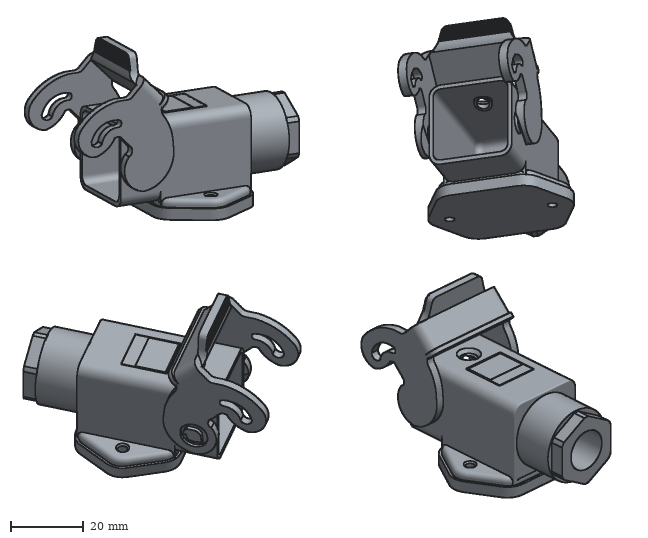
import cadquery as cq
import math


SCREW_X = 15.0
FLANGE_CORNER_R = 6.0
FLANGE_CORNER_X = 9.7
FLANGE_HALF_Y = 15.25
FLANGE_CORNER_Y = FLANGE_HALF_Y - FLANGE_CORNER_R
FLANGE_H = 3.4
PLATEAU_INSET = 0.8
PLATEAU_TOP = 5.7
PLATEAU_ROUND = 1.5
SCREW_D = 2.7
SCREW_RIM_D = 3.7

BODY_W = 24.1
BODY_TOP = 28.5
BODY_BOTTOM = 4.4
BODY_FRONT = -26.6
BODY_BACK = 14.3
STEP_Y = -14.2
BODY_ROUND = 3.3
BACK_EDGE_ROUND = 0.4
CAVITY_W = 21.8
CAVITY_TOP = 27.3
CAVITY_BACK = 11.5
CAVITY_CORNER_R = 2.2
CAVITY_BACK_ROUND = 2.0

PANEL_W = 13.2
PANEL_FRONT = -10.1
PANEL_BACK = 3.1
PANEL_H = 0.25
LABEL_W = 12.6
LABEL_FRONT = -9.7
LABEL_BACK = -0.9
LABEL_DEPTH = 0.1

ROOF_SCREW_Y = -15.7
SINK_R = 3.4
ROOF_HOLE_R = 1.8
ROOF_BOSS_R = 2.5
ROOF_BOSS_BOTTOM = 25.2

AXIS_Z = 16.5
GLAND_R = 11.05
GLAND_BACK = 26.65
NUT_FLATS = 19.0
NUT_CORNER_R = 10.55
NUT_BACK = 30.65
BORE_R = 6.0
SEAT_R = 7.0
SEAT_DEPTH = 1.5
SEAT_RIM_R = 7.5
SEAT_RIM_DEPTH = 0.5

PIVOT_Y = -21.0
LEVER_W = 32.0
LEVER_GAP = 27.0
HUB_R = 6.55
LOBE_R = 5.5
LOBE = (15.5, 10.9)
BRIDGE_LOW = 8.3
BRIDGE_HIGH = 17.9
BRIDGE_INNER = 15.65
BRIDGE_OUTER = 18.5
BRIDGE_ROUND = 2.8
LIP_OUTER = 19.4
LIP_LOW = 8.0
LIP_HIGH = 9.4

RELIEF_START = 3.5
RELIEF_DEPTH = 1.2
RELIEF_TURN = 33.0

TAB_TOP = 48.08
TAB_TOP_HALF_W = 9.4
TAB_MID_HALF_W = 10.5
TAB_MID_Z = 43.8
TAB_FOOT_HALF_W = 13.2
TAB_FOOT_Z = 40.4
TAB_CORNER_R = 2.0
TAB_BULGE = 0.5
TAB_TOP_BACK = -0.7
TAB_TOP_FRONT = 1.9
TAB_BEND = (2.2, 26.5)
TAB_BEND_MIDDLE = (2.25, 25.1)
TAB_FLARE = (11.3, 42.0)
GRIP_COUNT = 5
GRIP_PITCH = 0.9
GRIP_FIRST_Z = 43.6
GRIP_W = 0.45
GRIP_DEPTH = 0.2
GRIP_FACE_Y = PIVOT_Y - 2.0

PIN_R = 2.55
PIN_BOSS_R = 3.15
PIN_BOSS_LEN = 0.7
HEAD_RECESS_R = 4.0
HEAD_RECESS_DEPTH = 1.0
HEAD_R = 2.15
HEAD_PROUD = 0.3
HEAD_KEY_REACH = 2.9
KEY_BEVEL = 0.8
LOWER_KEY_FRONT = 2.4
LOWER_KEY_DROP = 3.3
LOWER_KEY_SLOPE_TOP = -1.8

OVERLAP = 0.5


def box(x0, x1, y0, y1, z0, z1):
    return cq.Workplane("XY").box(x1 - x0, y1 - y0, z1 - z0, centered=False).translate((x0, y0, z0))


def cylinder_y(radius, y0, y1):
    """Cylinder on the gland axis."""
    return cq.Workplane("XZ", origin=(0, y0, AXIS_Z)).circle(radius).extrude(y0 - y1)


def cylinder_x(radius, x0, x1):
    """Cylinder on the lever pivot axis."""
    return cq.Workplane("YZ", origin=(x0, PIVOT_Y, AXIS_Z)).circle(radius).extrude(x1 - x0)


def lever_point(forward, up):
    return (PIVOT_Y - forward, AXIS_Z + up)


def bridge_point(along, out):
    return lever_point((along - out) / math.sqrt(2), (along + out) / math.sqrt(2))


def rounded_hexagon(inset, z0, z1):
    """Hexagonal plate whose corners are arcs about six fixed centres."""
    r = FLANGE_CORNER_R - inset
    centres = [
        (FLANGE_CORNER_X, FLANGE_CORNER_Y, 60),
        (SCREW_X, 0, 0),
        (FLANGE_CORNER_X, -FLANGE_CORNER_Y, -60),
        (-FLANGE_CORNER_X, -FLANGE_CORNER_Y, -120),
        (-SCREW_X, 0, -180),
        (-FLANGE_CORNER_X, FLANGE_CORNER_Y, -240),
    ]
    half_sweep = 30

    def rim_point(x, y, degrees):
        angle = math.radians(degrees)
        return (x + r * math.cos(angle), y + r * math.sin(angle))

    outline = cq.Workplane("XY", origin=(0, 0, z0)).moveTo(-FLANGE_CORNER_X, FLANGE_CORNER_Y + r)
    for x, y, middle in centres:
        outline = outline.lineTo(*rim_point(x, y, middle + half_sweep))
        outline = outline.threePointArc(rim_point(x, y, middle), rim_point(x, y, middle - half_sweep))
    return outline.close().extrude(z1 - z0)


def make_flange():
    plateau = rounded_hexagon(PLATEAU_INSET, FLANGE_H - OVERLAP, PLATEAU_TOP)
    plateau = plateau.faces(">Z").edges().fillet(PLATEAU_ROUND)
    return rounded_hexagon(0, 0, FLANGE_H).union(plateau)


def cut_flange_screws(part):
    rim = (SCREW_RIM_D - SCREW_D) / 2
    for x in (-SCREW_X, SCREW_X):
        hole = cq.Workplane("XY").center(x, 0).circle(SCREW_D / 2).extrude(PLATEAU_TOP)
        sink = cq.Workplane("XY", origin=(x, 0, PLATEAU_TOP - rim)).circle(SCREW_D / 2)
        sink = sink.workplane(offset=rim).circle(SCREW_RIM_D / 2).loft()
        part = part.cut(hole).cut(sink)
    return part


def make_housing():
    half = BODY_W / 2
    front = box(-half, half, BODY_FRONT, BODY_BACK, BODY_BOTTOM, BODY_TOP).edges("|Y").fillet(BODY_ROUND)
    rear = box(-half, half, STEP_Y, BODY_BACK, FLANGE_H - OVERLAP, BODY_TOP)
    rear = rear.edges("|Y and >Z").fillet(BODY_ROUND)
    housing = front.union(rear)
    return housing.faces(">Y").edges().edges(">Z").fillet(BACK_EDGE_ROUND)


def make_cavity():
    half = CAVITY_W / 2
    cavity = box(-half, half, BODY_FRONT - OVERLAP, CAVITY_BACK, PLATEAU_TOP, CAVITY_TOP)
    cavity = cavity.edges("|Y").fillet(CAVITY_CORNER_R)
    return cavity.faces(">Y").edges("not <Z").fillet(CAVITY_BACK_ROUND)


def make_label():
    half = PANEL_W / 2
    panel = box(-half, half, PANEL_FRONT, PANEL_BACK, BODY_TOP - OVERLAP, BODY_TOP + PANEL_H)
    floor = BODY_TOP + PANEL_H - LABEL_DEPTH
    recess = box(-LABEL_W / 2, LABEL_W / 2, LABEL_FRONT, LABEL_BACK, floor, BODY_TOP + PANEL_H)
    return panel.cut(recess)


def make_gland():
    nut = cq.Workplane("XZ", origin=(0, GLAND_BACK - OVERLAP, AXIS_Z))
    nut = nut.transformed(rotate=(0, 0, 30)).polygon(6, NUT_FLATS / math.cos(math.pi / 6))
    nut = nut.extrude(GLAND_BACK - OVERLAP - NUT_BACK)
    nut = nut.intersect(cylinder_y(NUT_CORNER_R, BODY_BACK, NUT_BACK))
    return cylinder_y(GLAND_R, BODY_BACK - OVERLAP, GLAND_BACK).union(nut)


def cut_bore(part):
    start = CAVITY_BACK - OVERLAP
    part = part.cut(cylinder_y(BORE_R, start, NUT_BACK))
    part = part.cut(cylinder_y(SEAT_R, start, CAVITY_BACK + SEAT_DEPTH))
    return part.cut(cylinder_y(SEAT_RIM_R, start, CAVITY_BACK + SEAT_RIM_DEPTH))


def add_roof_screw(part):
    """Countersunk hole; the underside of its boss slopes down towards the back."""
    base = cq.Workplane("XY", origin=(0, ROOF_SCREW_Y, ROOF_BOSS_BOTTOM))
    boss = base.circle(ROOF_BOSS_R).extrude(CAVITY_TOP + OVERLAP - ROOF_BOSS_BOTTOM)
    slope = (
        cq.Workplane("YZ", origin=(-ROOF_BOSS_R, ROOF_SCREW_Y, ROOF_BOSS_BOTTOM))
        .moveTo(-ROOF_BOSS_R, 0)
        .lineTo(ROOF_BOSS_R, 0)
        .lineTo(-ROOF_BOSS_R, CAVITY_TOP - ROOF_BOSS_BOTTOM)
        .close()
        .extrude(2 * ROOF_BOSS_R)
    )
    boss = boss.cut(slope)
    hole = base.circle(ROOF_HOLE_R).extrude(BODY_TOP - ROOF_BOSS_BOTTOM)
    depth = SINK_R - ROOF_HOLE_R
    sink = cq.Workplane("XY", origin=(0, ROOF_SCREW_Y, BODY_TOP - depth)).circle(ROOF_HOLE_R)
    sink = sink.workplane(offset=depth).circle(SINK_R).loft()
    return part.union(boss).cut(hole).cut(sink)


def make_lever_blank():
    """Side shape of the lever: bridge end, neck, hooked lobe, notch, hub and rounded back."""
    lobe_x, lobe_z = LOBE
    blank = (
        cq.Workplane("YZ", origin=(-LEVER_W / 2, 0, 0))
        .moveTo(*bridge_point(BRIDGE_LOW, BRIDGE_OUTER))
        .lineTo(*bridge_point(BRIDGE_HIGH, BRIDGE_OUTER))
        .lineTo(*lever_point(4.2, 21.1))
        .threePointArc(lever_point(4.9, 20.7), lever_point(5.8, 20.6))
        .lineTo(*lever_point(8.5, 20.6))
        .threePointArc(lever_point(15.0, 18.4), lever_point(19.6, 14.5))
        .threePointArc(lever_point(lobe_x + LOBE_R, lobe_z), lever_point(lobe_x, lobe_z - LOBE_R))
        .threePointArc(lever_point(11.6, 7.5), lever_point(9.6, 10.0))
        .threePointArc(lever_point(8.6, 10.3), lever_point(7.6, 9.9))
        .lineTo(*lever_point(4.8, 7.0))
        .threePointArc(lever_point(4.1, 5.6), lever_point(5.1, 4.1))
        .threePointArc(lever_point(HUB_R, 0), lever_point(0, -HUB_R))
        .threePointArc(lever_point(-6.3, -3.2), lever_point(-8.7, 5.6))
        .threePointArc(lever_point(-7.5, 11.3), lever_point(-5.4, 14.8))
        .threePointArc(lever_point(-5.1, 15.7), bridge_point(BRIDGE_LOW, BRIDGE_INNER))
        .close()
    )
    return blank.extrude(LEVER_W)


def make_latch_slot():
    """Curved slot that catches the mating connector's peg."""
    slot = (
        cq.Workplane("YZ", origin=(-LEVER_W / 2, 0, 0))
        .moveTo(*lever_point(8.5, 15.1))
        .threePointArc(lever_point(13.6, 14.3), lever_point(16.9, 9.8))
        .threePointArc(lever_point(15.4, 8.2), lever_point(13.6, 9.0))
        .threePointArc(lever_point(11.8, 12.0), lever_point(8.5, 13.05))
        .threePointArc(lever_point(7.5, 14.1), lever_point(8.5, 15.1))
        .close()
    )
    return slot.extrude(LEVER_W)


def bridge_bar(low, high, inner, outer, width):
    corners = [
        bridge_point(low, inner),
        bridge_point(high, inner),
        bridge_point(high, outer),
        bridge_point(low, outer),
    ]
    return cq.Workplane("YZ", origin=(-width / 2, 0, 0)).polyline(corners).close().extrude(width)


def round_bridge_corners(bar):
    along_bridge = cq.selectors.ParallelDirSelector(cq.Vector(0, -1, 1))
    outward = cq.selectors.DirectionMinMaxSelector(cq.Vector(0, 1, 1), True)
    return bar.faces(outward).edges(along_bridge).fillet(BRIDGE_ROUND)


def make_finger_tab():
    """Bent grip above the bridge: its side shape crossed with its flared front outline."""
    side = (
        cq.Workplane("YZ", origin=(-LEVER_W / 2, 0, 0))
        .moveTo(*bridge_point(BRIDGE_HIGH - OVERLAP, BRIDGE_OUTER))
        .lineTo(*bridge_point(BRIDGE_HIGH, BRIDGE_OUTER))
        .lineTo(*lever_point(TAB_TOP_BACK, TAB_TOP - AXIS_Z))
        .lineTo(*lever_point(TAB_TOP_FRONT, TAB_TOP - AXIS_Z))
        .lineTo(*lever_point(*TAB_BEND))
        .threePointArc(lever_point(*TAB_BEND_MIDDLE), bridge_point(BRIDGE_HIGH + TAB_BULGE, BRIDGE_INNER))
        .lineTo(*bridge_point(BRIDGE_HIGH, BRIDGE_INNER))
        .lineTo(*bridge_point(BRIDGE_HIGH - OVERLAP, BRIDGE_INNER))
        .close()
        .extrude(LEVER_W)
    )
    foot = AXIS_Z + BRIDGE_HIGH
    flare_x, flare_z = TAB_FLARE
    outline = (
        cq.Workplane("XZ")
        .moveTo(-TAB_FOOT_HALF_W, foot)
        .lineTo(-TAB_FOOT_HALF_W, TAB_FOOT_Z)
        .threePointArc((-flare_x, flare_z), (-TAB_MID_HALF_W, TAB_MID_Z))
        .lineTo(-TAB_TOP_HALF_W, TAB_TOP)
        .lineTo(TAB_TOP_HALF_W, TAB_TOP)
        .lineTo(TAB_MID_HALF_W, TAB_MID_Z)
        .threePointArc((flare_x, flare_z), (TAB_FOOT_HALF_W, TAB_FOOT_Z))
        .lineTo(TAB_FOOT_HALF_W, foot)
        .close()
        .extrude(-2 * BODY_FRONT)
    )
    outline = outline.edges("|Y and >Z").fillet(TAB_CORNER_R)
    tab = side.intersect(outline)
    for i in range(GRIP_COUNT):
        z = GRIP_FIRST_Z + i * GRIP_PITCH
        groove = box(-LEVER_W, LEVER_W, GRIP_FACE_Y - OVERLAP, GRIP_FACE_Y + GRIP_DEPTH, z, z + GRIP_W)
        tab = tab.cut(groove)
    return tab


def make_arm_relief(side):
    """Wedge that tapers an arm's inner face towards the lower front of its hub."""
    inner = side * LEVER_GAP / 2
    reach = 2 * HUB_R
    depth = RELIEF_DEPTH * (reach - RELIEF_START) / (HUB_R - RELIEF_START)
    wedge = (
        cq.Workplane("XZ", origin=(0, PIVOT_Y + reach, AXIS_Z))
        .moveTo(inner, -RELIEF_START)
        .lineTo(inner + side * depth, -reach)
        .lineTo(inner, -reach)
        .close()
        .extrude(2 * reach)
    )
    return wedge.rotate((0, PIVOT_Y, AXIS_Z), (1, PIVOT_Y, AXIS_Z), -RELIEF_TURN)


def make_lever():
    blank = round_bridge_corners(make_lever_blank())
    lip = round_bridge_corners(bridge_bar(LIP_LOW, LIP_HIGH, BRIDGE_INNER, LIP_OUTER, LEVER_W))
    gap = bridge_bar(-LEVER_W, 2 * LEVER_W, -LEVER_W, BRIDGE_INNER, LEVER_GAP)
    lever = blank.union(lip).cut(gap).cut(make_latch_slot())
    for side in (-1, 1):
        lever = lever.cut(make_arm_relief(side))
    return lever.union(make_finger_tab())


def make_pin(side):
    """Coned boss on the housing wall and pin reaching into the lever arm."""
    wall = BODY_W / 2
    cone = cq.Workplane("YZ", origin=(side * wall, PIVOT_Y, AXIS_Z)).circle(PIN_BOSS_R)
    cone = cone.workplane(offset=side * PIN_BOSS_LEN).circle(PIN_R).loft()
    root = side * (CAVITY_W / 2 + OVERLAP)
    tip = side * (LEVER_W / 2 - HEAD_RECESS_DEPTH - OVERLAP)
    return cone.union(cylinder_x(PIN_R, root, tip))


def add_pin_head(part):
    """Pin head with two keys, standing in a round recess in the -X arm."""
    face = -LEVER_W / 2
    floor = face + HEAD_RECESS_DEPTH
    root = floor + OVERLAP
    top = face - HEAD_PROUD
    recess = cylinder_x(HEAD_RECESS_R, face, floor)
    head = cylinder_x(HEAD_R, top, root)
    side_key = (
        cq.Workplane("YZ", origin=(top, PIVOT_Y, AXIS_Z))
        .lineTo(HEAD_KEY_REACH, 0)
        .lineTo(HEAD_KEY_REACH, HEAD_R / 2)
        .lineTo(HEAD_KEY_REACH - KEY_BEVEL, HEAD_R)
        .lineTo(0, HEAD_R)
        .close()
        .extrude(root - top)
    )
    lower_key = (
        cq.Workplane("YZ", origin=(top, PIVOT_Y, AXIS_Z))
        .moveTo(-HEAD_R, 0)
        .lineTo(-LOWER_KEY_FRONT, -HEAD_R)
        .lineTo(0, -LOWER_KEY_DROP)
        .lineTo(HEAD_R, 0)
        .close()
        .extrude(root - top)
    )
    key_slope = (
        cq.Workplane("XZ", origin=(0, PIVOT_Y + HEAD_RECESS_R, AXIS_Z))
        .moveTo(top, 0)
        .lineTo(root, 0)
        .lineTo(root, -LOWER_KEY_DROP)
        .lineTo(floor, -LOWER_KEY_DROP)
        .lineTo(top, LOWER_KEY_SLOPE_TOP)
        .close()
        .extrude(2 * HEAD_RECESS_R)
    )
    return part.cut(recess).union(head).union(side_key).union(lower_key.intersect(key_slope))


housing = make_flange().union(make_housing()).union(make_gland()).union(make_label())
housing = cut_bore(housing.cut(make_cavity()))
housing = add_roof_screw(cut_flange_screws(housing))
result = housing.union(make_lever()).union(make_pin(-1)).union(make_pin(1))
result = add_pin_head(result)